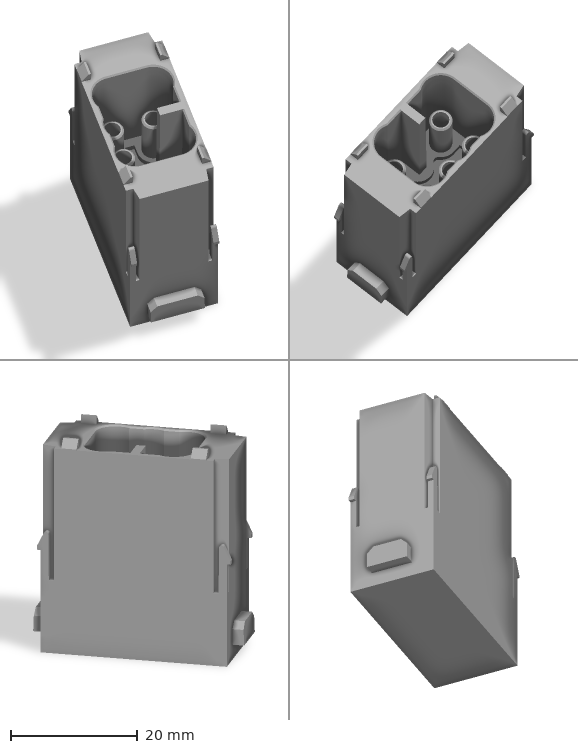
import cadquery as cq
import math

TOTAL_HEIGHT = 35.5
BODY_LENGTH = 30.25
BODY_WIDTH = 14.6
BODY_HEIGHT = 34.0
HALF_LENGTH = BODY_LENGTH / 2
HALF_WIDTH = BODY_WIDTH / 2

RELIEF_BOTTOM = 12.05
RELIEF_INNER_X = 12.92
RELIEF_INNER_Y = 6.07
RELIEF_OUTER_Y = 5.7
ARM_THICKNESS = 0.95
ARM_ROOT_X = 13.77
ARM_INNER_LEAN = 0.1
ARM_APEX_Z = 21.3
ARM_TIP_RADIUS = 0.4
HOOK_X = 15.73
HOOK_BOTTOM = 17.0
HOOK_RAMP_BOTTOM = 17.6

TAB_WIDTH = 2.5
TAB_CENTRE_X = 10.5
TAB_INNER_Y = 5.75
TAB_TIP_Y = 6.1
TAB_RAMP_RISE = 0.15

LUG_BOTTOM = 2.45
LUG_TOP = 6.15
LUG_OUTER_X = 17.0
LUG_LEAN = 0.15
LUG_CORNER = 1.1
LEFT_LUG_HALF_WIDTH = 3.5
RIGHT_LUG_HALF_WIDTH = 4.47

CONTACT_X = 5.65
CONTACT_Y = 3.4
CAVITY_FLOOR = 15.98
CAVITY_RADIUS = 3.45
CAVITY_WALL_Y = 6.43
CAVITY_CHAMFER = 0.25
CAVITY_DRAFT = 0.18

RIB_HALF_WIDTH = 0.75
RIB_END_Y = 2.4
RIB_DRAFT = 0.15

SLEEVE_TOP = 24.15
SLEEVE_RADIUS = 1.85
SLEEVE_CHAMFER = 0.3
BORE_RADIUS = 1.35

RECESS_DEPTH = 1.0
RECESS_HALF_LENGTH = 7.2
RECESS_CLEARANCE = 2.63
RECESS_TIP_RADIUS = 0.78


def at_all_corners(shape):
    """Join a shape in the +X +Y quadrant with its mirror images in the other three."""
    pair = shape.union(shape.mirror("YZ"))
    return pair.union(pair.mirror("XZ"))


def corner_relief():
    return (
        cq.Workplane("XY", origin=(0, 0, RELIEF_BOTTOM))
        .moveTo(RELIEF_INNER_X, HALF_WIDTH)
        .lineTo(RELIEF_INNER_X, RELIEF_INNER_Y)
        .lineTo(HALF_LENGTH, RELIEF_OUTER_Y)
        .lineTo(HALF_LENGTH, HALF_WIDTH)
        .close()
        .extrude(BODY_HEIGHT - RELIEF_BOTTOM)
    )


def latch_arm():
    arm = (
        cq.Workplane("XZ", origin=(0, HALF_WIDTH, 0))
        .moveTo(ARM_ROOT_X, RELIEF_BOTTOM)
        .lineTo(ARM_ROOT_X + ARM_INNER_LEAN, ARM_APEX_Z)
        .lineTo(HOOK_X, HOOK_RAMP_BOTTOM)
        .lineTo(HOOK_X, HOOK_BOTTOM)
        .lineTo(HALF_LENGTH, HOOK_BOTTOM)
        .lineTo(HALF_LENGTH, RELIEF_BOTTOM)
        .close()
        .extrude(ARM_THICKNESS)
    )
    return arm.edges("|Y").edges(">Z").fillet(ARM_TIP_RADIUS)


def top_tab():
    return (
        cq.Workplane("YZ", origin=(TAB_CENTRE_X, 0, 0))
        .moveTo(TAB_INNER_Y, BODY_HEIGHT)
        .lineTo(TAB_INNER_Y, TOTAL_HEIGHT)
        .lineTo(TAB_TIP_Y, TOTAL_HEIGHT)
        .lineTo(HALF_WIDTH, BODY_HEIGHT + TAB_RAMP_RISE)
        .lineTo(HALF_WIDTH, BODY_HEIGHT)
        .close()
        .extrude(TAB_WIDTH / 2, both=True)
    )


def end_lug(half_width):
    """Lug on the +X end, with cut upper corners and an outer face that leans in toward the top."""
    profile = (
        cq.Workplane("XZ")
        .moveTo(HALF_LENGTH, LUG_BOTTOM)
        .lineTo(LUG_OUTER_X, LUG_BOTTOM)
        .lineTo(LUG_OUTER_X - LUG_LEAN, LUG_TOP)
        .lineTo(HALF_LENGTH, LUG_TOP)
        .close()
        .extrude(half_width, both=True)
    )
    outline = (
        cq.Workplane("YZ", origin=(HALF_LENGTH, 0, 0))
        .moveTo(-half_width, LUG_BOTTOM)
        .lineTo(half_width, LUG_BOTTOM)
        .lineTo(half_width, LUG_TOP - LUG_CORNER)
        .lineTo(half_width - LUG_CORNER, LUG_TOP)
        .lineTo(LUG_CORNER - half_width, LUG_TOP)
        .lineTo(-half_width, LUG_TOP - LUG_CORNER)
        .close()
        .extrude(LUG_OUTER_X - HALF_LENGTH)
    )
    return profile.intersect(outline)


def cavity_outline(inset, z):
    """Closed wire of the cavity at height z, every wall moved inward by inset."""
    radius = CAVITY_RADIUS - inset
    wall_y = CAVITY_WALL_Y - inset
    side_x = CONTACT_X + radius
    bulge_half = math.sqrt(radius**2 - (wall_y - CONTACT_Y) ** 2)
    corner_end_x = CONTACT_X - bulge_half
    diagonal = radius * math.sqrt(0.5)
    mid_x = CONTACT_X + diagonal
    mid_y = CONTACT_Y + diagonal
    return (
        cq.Workplane("XY", origin=(0, 0, z))
        .moveTo(side_x, -CONTACT_Y)
        .lineTo(side_x, CONTACT_Y)
        .threePointArc((mid_x, mid_y), (corner_end_x, wall_y))
        .lineTo(-corner_end_x, wall_y)
        .threePointArc((-mid_x, mid_y), (-side_x, CONTACT_Y))
        .lineTo(-side_x, -CONTACT_Y)
        .threePointArc((-mid_x, -mid_y), (-corner_end_x, -wall_y))
        .lineTo(-bulge_half, -wall_y)
        .threePointArc((0, -CONTACT_Y - radius), (bulge_half, -wall_y))
        .lineTo(corner_end_x, -wall_y)
        .threePointArc((mid_x, -mid_y), (side_x, -CONTACT_Y))
        .close()
        .val()
    )


def rib_outline(growth, z):
    half_width = RIB_HALF_WIDTH + growth
    return (
        cq.Workplane("XY", origin=(0, 0, z))
        .moveTo(-half_width, HALF_WIDTH)
        .lineTo(-half_width, RIB_END_Y - growth)
        .lineTo(half_width, RIB_END_Y - growth)
        .lineTo(half_width, HALF_WIDTH)
        .close()
        .val()
    )


def ruled_solid(lower_wire, upper_wire):
    return cq.Workplane(obj=cq.Solid.makeLoft([lower_wire, upper_wire], True))


def cavity():
    chamfer_bottom = BODY_HEIGHT - CAVITY_CHAMFER
    rim_wire = cavity_outline(CAVITY_CHAMFER, chamfer_bottom)
    drafted = ruled_solid(cavity_outline(CAVITY_CHAMFER + CAVITY_DRAFT, CAVITY_FLOOR), rim_wire)
    lead_in = ruled_solid(rim_wire, cavity_outline(0, BODY_HEIGHT))
    rib = ruled_solid(rib_outline(RIB_DRAFT, CAVITY_FLOOR), rib_outline(0, BODY_HEIGHT))
    return drafted.union(lead_in).cut(rib)


def floor_recess():
    """Slot bounded by arcs about the contact positions, blended by rounded tips between them."""
    tip_x = CONTACT_X / 2
    reach = RECESS_CLEARANCE + RECESS_TIP_RADIUS
    tip_drop = math.sqrt(reach**2 - tip_x**2)
    tip_centre_y = CONTACT_Y - tip_drop
    blend_offset_x = tip_x * RECESS_CLEARANCE / reach
    blend_y = CONTACT_Y - tip_drop * RECESS_CLEARANCE / reach
    tip_y = tip_centre_y + RECESS_TIP_RADIUS
    slot_y = CONTACT_Y - RECESS_CLEARANCE
    outer_mid_angle = math.atan2(tip_x, tip_drop) / 2
    outer_mid_x = CONTACT_X - RECESS_CLEARANCE * math.sin(outer_mid_angle)
    outer_mid_y = CONTACT_Y - RECESS_CLEARANCE * math.cos(outer_mid_angle)

    outline = cq.Workplane("XY", origin=(0, 0, CAVITY_FLOOR)).moveTo(RECESS_HALF_LENGTH, -slot_y)
    for side in (1, -1):
        outline = (
            outline.lineTo(side * RECESS_HALF_LENGTH, side * slot_y)
            .lineTo(side * CONTACT_X, side * slot_y)
            .threePointArc(
                (side * outer_mid_x, side * outer_mid_y),
                (side * (CONTACT_X - blend_offset_x), side * blend_y),
            )
            .threePointArc((side * tip_x, side * tip_y), (side * blend_offset_x, side * blend_y))
            .threePointArc((0, side * slot_y), (-side * blend_offset_x, side * blend_y))
            .threePointArc(
                (-side * tip_x, side * tip_y),
                (side * (blend_offset_x - CONTACT_X), side * blend_y),
            )
            .threePointArc((-side * outer_mid_x, side * outer_mid_y), (-side * CONTACT_X, side * slot_y))
            .lineTo(-side * RECESS_HALF_LENGTH, side * slot_y)
        )
    return outline.close().extrude(-RECESS_DEPTH)


def contact_sleeves():
    positions = [
        (-CONTACT_X, CONTACT_Y),
        (CONTACT_X, CONTACT_Y),
        (-CONTACT_X, -CONTACT_Y),
        (0, -CONTACT_Y),
        (CONTACT_X, -CONTACT_Y),
    ]
    height = SLEEVE_TOP - CAVITY_FLOOR
    floor = cq.Workplane("XY", origin=(0, 0, CAVITY_FLOOR)).pushPoints(positions)
    posts = floor.circle(SLEEVE_RADIUS).extrude(height).faces(">Z").chamfer(SLEEVE_CHAMFER)
    return posts.cut(floor.circle(BORE_RADIUS).extrude(height))


body = cq.Workplane("XY").box(BODY_LENGTH, BODY_WIDTH, BODY_HEIGHT, centered=(True, True, False))
body = body.cut(at_all_corners(corner_relief()))
body = body.union(at_all_corners(latch_arm()))
body = body.union(at_all_corners(top_tab()))
body = body.union(end_lug(RIGHT_LUG_HALF_WIDTH))
body = body.union(end_lug(LEFT_LUG_HALF_WIDTH).mirror("YZ"))
body = body.cut(cavity())
body = body.cut(floor_recess())
result = body.union(contact_sleeves())